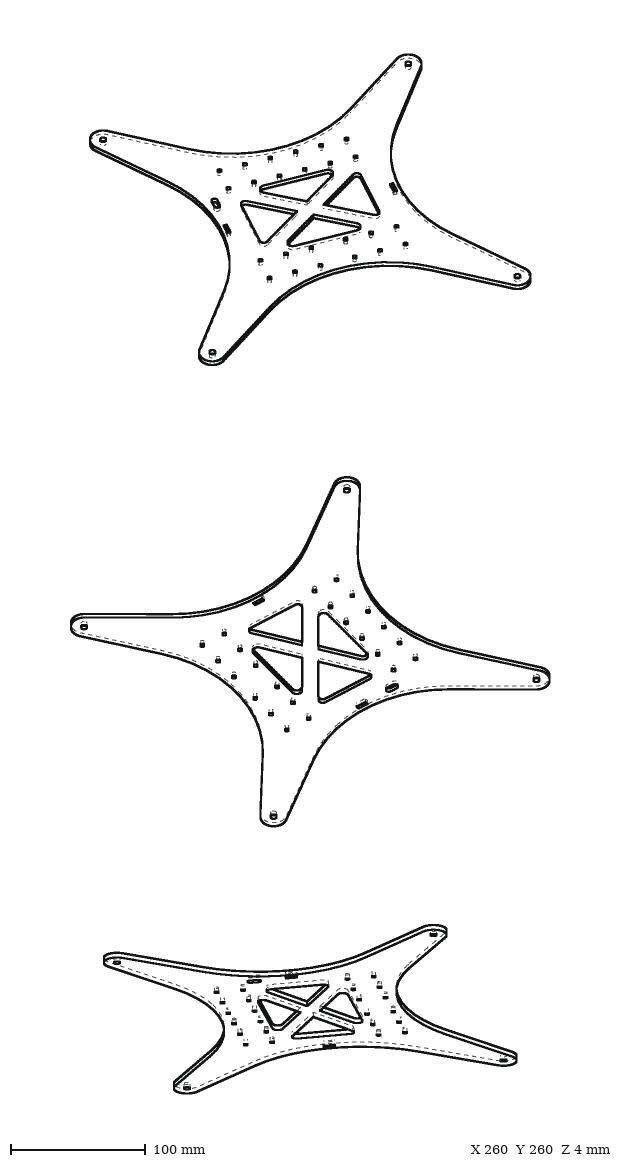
import cadquery as cq
import math

span = 260.0
thickness = 4.0
tip_radius = 10.0
tip_center = span / 2 - tip_radius
tip_hole_diameter = 4.5

waist_half_x = 67.9
waist_half_y = 70.0
edge_radius = 105.0

window_half_x = 34.0
window_half_y = 47.0
strut_width = 12.2
strut_angle = math.radians(54.2)
side_window_fillet = 4.0
end_window_fillet = 3.0

hole_diameter = 2.9
hole_pitch = 20.0
hole_column_inner = 2 * hole_pitch
hole_column_outer = 3 * hole_pitch
left_hole_rows = 6
right_hole_rows = 3
right_group_offset = 33.5

strap_slot_length = 8.0
strap_slot_width = 2.3
strap_slot_y = 65.5
cable_slot_length = 10.0
cable_slot_width = 4.5
cable_slot_x = -28.3
cable_slot_y = -64.2


def edge_tangent(waist):
    """Tangent points of an edge with its arc centered on the local +v axis.

    Returns the (u, v) points on the concave arc and on the +u arm tip.
    """
    arc_v = waist + edge_radius
    du = tip_center
    dv = tip_center - arc_v
    distance = math.hypot(du, dv)
    angle = math.atan2(dv, du) - math.acos((edge_radius + tip_radius) / distance)
    nu = math.cos(angle)
    nv = math.sin(angle)
    on_arc = (edge_radius * nu, arc_v + edge_radius * nv)
    on_tip = (tip_center - tip_radius * nu, tip_center - tip_radius * nv)
    return on_arc, on_tip


def make_plate():
    (top_u, top_v), (top_tip_u, top_tip_v) = edge_tangent(waist_half_y)
    (side_u, side_v), (side_tip_u, side_tip_v) = edge_tangent(waist_half_x)
    tip_mid = tip_center + tip_radius / math.sqrt(2)

    outline = (
        cq.Workplane("XY")
        .moveTo(-top_u, top_v)
        .threePointArc((0, waist_half_y), (top_u, top_v))
        .lineTo(top_tip_u, top_tip_v)
        .threePointArc((tip_mid, tip_mid), (side_tip_v, side_tip_u))
        .lineTo(side_v, side_u)
        .threePointArc((waist_half_x, 0), (side_v, -side_u))
        .lineTo(side_tip_v, -side_tip_u)
        .threePointArc((tip_mid, -tip_mid), (top_tip_u, -top_tip_v))
        .lineTo(top_u, -top_v)
        .threePointArc((0, -waist_half_y), (-top_u, -top_v))
        .lineTo(-top_tip_u, -top_tip_v)
        .threePointArc((-tip_mid, -tip_mid), (-side_tip_v, -side_tip_u))
        .lineTo(-side_v, -side_u)
        .threePointArc((-waist_half_x, 0), (-side_v, side_u))
        .lineTo(-side_tip_v, side_tip_u)
        .threePointArc((-tip_mid, tip_mid), (-top_tip_u, top_tip_v))
        .close()
    )
    return outline.extrude(thickness)


def make_window(points, outer_corners, fillet):
    """Triangular cutter with a sharp inner point and two rounded corners."""
    return (
        cq.Workplane("XY")
        .polyline(points)
        .close()
        .extrude(thickness)
        .edges("|Z")
        .edges(outer_corners)
        .fillet(fillet)
    )


def cut_windows(plate):
    side_point = strut_width / 2 / math.sin(strut_angle)
    end_point = strut_width / 2 / math.cos(strut_angle)
    side_half = (window_half_x - side_point) * math.tan(strut_angle)
    end_half = (window_half_y - end_point) / math.tan(strut_angle)

    side_points = [(side_point, 0), (window_half_x, -side_half), (window_half_x, side_half)]
    end_points = [(0, end_point), (end_half, window_half_y), (-end_half, window_half_y)]
    side_window = make_window(side_points, ">X", side_window_fillet)
    end_window = make_window(end_points, ">Y", end_window_fillet)

    for window in (side_window, end_window):
        plate = plate.cut(window).cut(window.mirror("YZ").mirror("XZ"))
    return plate


def cut_holes(plate, centers, diameter):
    cutters = cq.Workplane("XY").pushPoints(centers).circle(diameter / 2).extrude(thickness)
    return plate.cut(cutters)


def mounting_hole_centers():
    left_rows = [(i - (left_hole_rows - 1) / 2) * hole_pitch for i in range(left_hole_rows)]
    right_rows = [
        group + (i - (right_hole_rows - 1) / 2) * hole_pitch
        for group in (-right_group_offset, right_group_offset)
        for i in range(right_hole_rows)
    ]
    columns = (hole_column_inner, hole_column_outer)
    left = [(-x, y) for x in columns for y in left_rows]
    right = [(x, y) for x in columns for y in right_rows]
    return left + right


def cut_slots(plate):
    strap_slots = (
        cq.Workplane("XY")
        .pushPoints([(0, -strap_slot_y), (0, strap_slot_y)])
        .rect(strap_slot_length, strap_slot_width)
        .extrude(thickness)
    )
    cable_slot = (
        cq.Workplane("XY")
        .center(cable_slot_x, cable_slot_y)
        .slot2D(cable_slot_length, cable_slot_width)
        .extrude(thickness)
    )
    return plate.cut(strap_slots).cut(cable_slot)


tip_centers = [(x, y) for x in (-tip_center, tip_center) for y in (-tip_center, tip_center)]

result = make_plate()
result = cut_windows(result)
result = cut_holes(result, tip_centers, tip_hole_diameter)
result = cut_holes(result, mounting_hole_centers(), hole_diameter)
result = cut_slots(result)